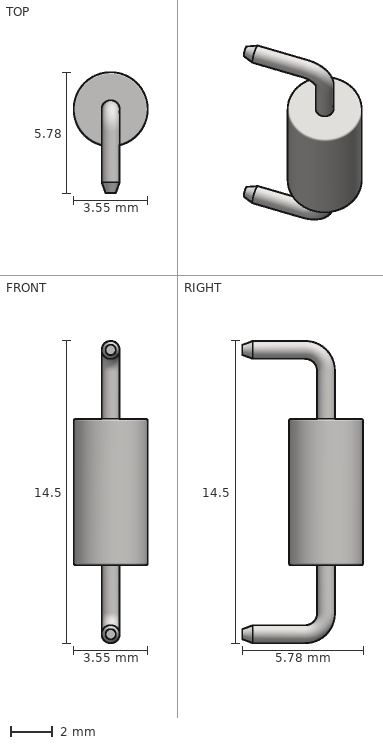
import cadquery as cq

total_height = 14.46
body_diameter = 3.55
body_height = 7.0
body_edge_radius = 0.1
total_depth = 5.78

lead_diameter = 0.87
bend_radius = 1.0
tip_length = 0.5
tip_diameter = 0.49

lead_radius = lead_diameter / 2
lead_axis_z = total_height / 2 - lead_radius
tip_y = body_diameter / 2 - total_depth
taper_start_y = tip_y + tip_length


def make_body():
    body = cq.Workplane("XY").cylinder(body_height, body_diameter / 2)
    return body.edges("%CIRCLE").fillet(body_edge_radius)


def make_upper_lead():
    """Lead rising from the body centre, bent toward -Y, with a tapered tip."""
    bend_start_z = lead_axis_z - bend_radius
    path = (
        cq.Workplane("YZ")
        .lineTo(0, bend_start_z)
        .tangentArcPoint((-bend_radius, lead_axis_z), relative=False)
        .lineTo(taper_start_y, lead_axis_z)
    )
    wire = cq.Workplane("XY").circle(lead_radius).sweep(path)
    tip = (
        cq.Workplane("XZ", origin=(0, taper_start_y, lead_axis_z))
        .circle(lead_radius)
        .workplane(offset=tip_length)
        .circle(tip_diameter / 2)
        .loft(ruled=True)
    )
    return wire.union(tip)


upper_lead = make_upper_lead()
lower_lead = upper_lead.mirror("XY")
result = make_body().union(upper_lead).union(lower_lead)